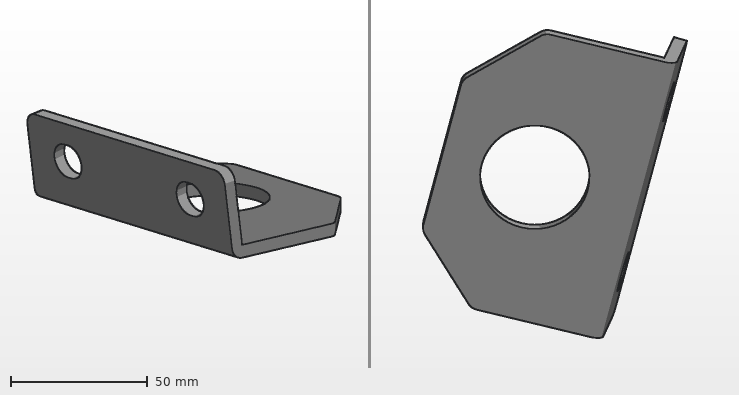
import cadquery as cq
import math

width = 110.0
thickness = 5.0
plate_depth = 70.0
flange_length = 30.0
flange_lean = 8.0
corner_radius = thickness

plate_chamfer = 25.0
bore_diameter = 40.0
bore_center_y = plate_depth / 2

slot_length = 15.0
slot_height = 13.0
slot_spacing = 68.0
slot_center_height = flange_length / 2


def make_plate():
    """Flat plate with two cut, rounded rear corners and a large bore."""
    plate = cq.Workplane("XY").box(
        width, plate_depth, thickness, centered=(True, False, False)
    )
    plate = plate.edges("|Z and >Y").chamfer(plate_chamfer)
    rounded_edges = cq.selectors.BoxSelector(
        (-width, plate_depth / 2, 0), (width, 2 * plate_depth, thickness)
    )
    plate = plate.edges("|Z").edges(rounded_edges).fillet(corner_radius)
    bore = (
        cq.Workplane("XY")
        .center(0, bore_center_y)
        .circle(bore_diameter / 2)
        .extrude(thickness)
    )
    return plate.cut(bore)


def make_bend():
    """Solid sector joining the plate to the flange."""
    bend_angle = math.radians(90 - flange_lean)

    def outer_point(angle):
        return (-thickness * math.sin(angle), thickness - thickness * math.cos(angle))

    return (
        cq.Workplane("YZ")
        .moveTo(0, thickness)
        .lineTo(*outer_point(0))
        .threePointArc(outer_point(bend_angle / 2), outer_point(bend_angle))
        .close()
        .extrude(width / 2, both=True)
    )


def make_flange():
    """Slotted flange with rounded top corners, made upright and then leaned outward."""
    flange = (
        cq.Workplane("XY")
        .box(width, thickness, flange_length, centered=(True, False, False))
        .translate((0, -thickness, thickness))
        .edges("|Y and >Z")
        .fillet(corner_radius)
    )
    slots = (
        cq.Workplane("XZ")
        .center(0, thickness + slot_center_height)
        .rarray(slot_spacing, 1.1, 2, 1)
        .slot2D(slot_length, slot_height)
        .extrude(thickness)
    )
    bend_edge_start = (0, 0, thickness)
    bend_edge_end = (1, 0, thickness)
    return flange.cut(slots).rotate(bend_edge_start, bend_edge_end, flange_lean)


result = make_plate().union(make_bend()).union(make_flange())